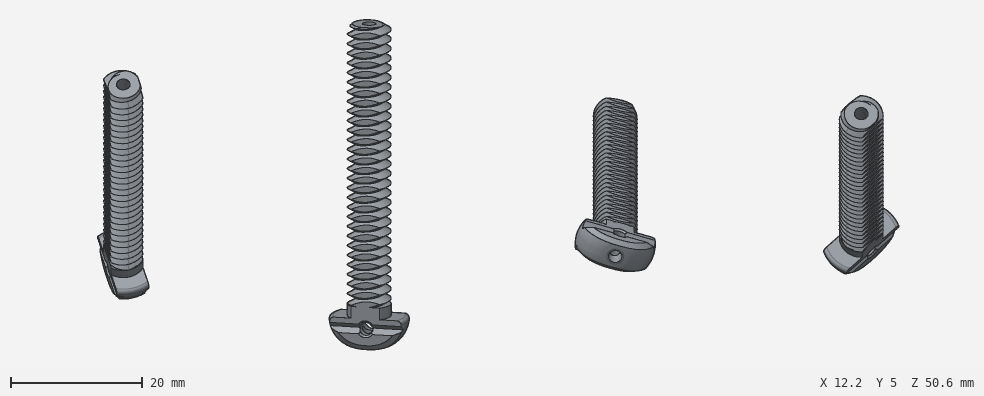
import cadquery as cq
import math

total_height = 50.6
thickness = 5.0
half_thickness = thickness / 2

head_radius = 6.095
head_height = 5.0
head_edge_radius = 0.6
head_bottom_radius = 1.25
head_bevel = 0.65

groove_center_z = 3.4
groove_half_height = 0.75
groove_depth = 1.0

hole_radius = 1.0
hole_mouth_chamfer = 0.3

shank_radius = 3.35
collar_top_z = 6.85
tip_chamfer = 0.75

pitch = 1.505
flank_angle = 30.0
root_radius = shank_radius - pitch / 2 / math.tan(math.radians(flank_angle))
blank_clearance = 0.1


def cylinder(radius, bottom_z, top_z):
    return cq.Workplane("XY").workplane(offset=bottom_z).circle(radius).extrude(top_z - bottom_z)


def make_head():
    """Turned bowl with a rounded top edge, cut to two flats and bevelled along their lower edges."""
    rim_z = head_height - head_edge_radius
    reach = head_radius - head_bottom_radius
    arc_radius = (reach**2 + rim_z**2) / (2 * rim_z)
    half_arc_angle = math.asin(reach / arc_radius) / 2
    arc_mid_x = head_bottom_radius + arc_radius * math.sin(half_arc_angle)
    arc_mid_z = arc_radius * (1 - math.cos(half_arc_angle))
    bowl = (
        cq.Workplane("XZ")
        .lineTo(head_bottom_radius, 0)
        .threePointArc((arc_mid_x, arc_mid_z), (head_radius, rim_z))
        .radiusArc((head_radius - head_edge_radius, head_height), -head_edge_radius)
        .lineTo(0, head_height)
        .close()
        .revolve(360, (0, 0), (0, 1))
    )
    bar = bowl.intersect(cq.Workplane("XY").box(4 * head_radius, thickness, 2 * total_height))

    lower = bar.intersect(cylinder(2 * head_radius, 0, groove_center_z))
    lower = lower.faces("<Y or >Y").edges("not >Z").chamfer(head_bevel)
    upper = bar.intersect(cylinder(2 * head_radius, groove_center_z, head_height))
    return lower.union(upper)


def make_side_groove(side):
    """V-shaped prism along X; side is +1 or -1 for the +Y or -Y flat."""
    return (
        cq.Workplane("YZ")
        .polyline([
            (side * half_thickness, groove_center_z - groove_half_height),
            (side * (half_thickness - groove_depth), groove_center_z),
            (side * half_thickness, groove_center_z + groove_half_height),
        ])
        .close()
        .extrude(2 * head_radius, both=True)
    )


def make_cross_hole():
    """Hole along Y through the groove, widened by a chamfer at both mouths."""
    mouth_radius = hole_radius + hole_mouth_chamfer
    throat_y = half_thickness - hole_mouth_chamfer
    return (
        cq.Workplane("XY")
        .polyline([
            (0, -half_thickness),
            (mouth_radius, -half_thickness),
            (hole_radius, -throat_y),
            (hole_radius, throat_y),
            (mouth_radius, half_thickness),
            (0, half_thickness),
        ])
        .close()
        .revolve(360, (0, 0), (0, 1))
        .translate((0, 0, groove_center_z))
    )


def make_thread():
    """Threaded bar, longer than needed at both ends.

    Each turn is a strip of ruled faces between helices, following the thread profile over one
    pitch. A helicoid from the axis and a flat half-plane face close each end.
    """
    profile = [
        (shank_radius, 0),
        (root_radius, pitch / 2),
        (shank_radius, pitch),
    ]
    turns = math.ceil((total_height - collar_top_z) / pitch) + 2
    start_z = collar_top_z - pitch

    faces = []
    for turn in range(turns):
        turn_z = start_z + turn * pitch
        helices = [helix_turn(radius, turn_z + z) for radius, z in profile]
        faces += [cq.Face.makeRuledSurface(a, b) for a, b in zip(helices, helices[1:])]

    for end_z in (start_z, start_z + turns * pitch):
        axis_low = cq.Vector(0, 0, end_z)
        axis_high = axis_low + cq.Vector(0, 0, pitch)
        axis = cq.Edge.makeLine(axis_low, axis_high)
        faces.append(cq.Face.makeRuledSurface(axis, helix_turn(shank_radius, end_z)))
        outline = [cq.Vector(radius, 0, end_z + z) for radius, z in profile]
        wire = cq.Wire.makePolygon([axis_low, *outline, axis_high], close=True)
        faces.append(cq.Face.makeFromWires(wire))
    return cq.Workplane(obj=cq.Solid.makeSolid(cq.Shell.makeShell(faces)))


def helix_turn(radius, z):
    """One right-hand turn of a helix, starting at +X."""
    return cq.Wire.makeHelix(pitch, pitch, radius, cq.Vector(0, 0, z)).Edges()[0]


def make_shank():
    """Plain collar below the thread, both flattened to the part thickness."""
    flats = cq.Workplane("XY").box(4 * shank_radius, thickness, 2 * total_height)
    blank = (
        cylinder(shank_radius + blank_clearance, collar_top_z, total_height)
        .faces(">Z")
        .chamfer(tip_chamfer + blank_clearance)
        .intersect(flats)
    )
    collar = cylinder(shank_radius, head_height, collar_top_z).intersect(flats)
    return blank.intersect(make_thread()).union(collar)


head = make_head()
for side in (-1, 1):
    head = head.cut(make_side_groove(side))
head = head.cut(make_cross_hole())

result = make_shank().union(head).cut(cylinder(hole_radius, 0, total_height))